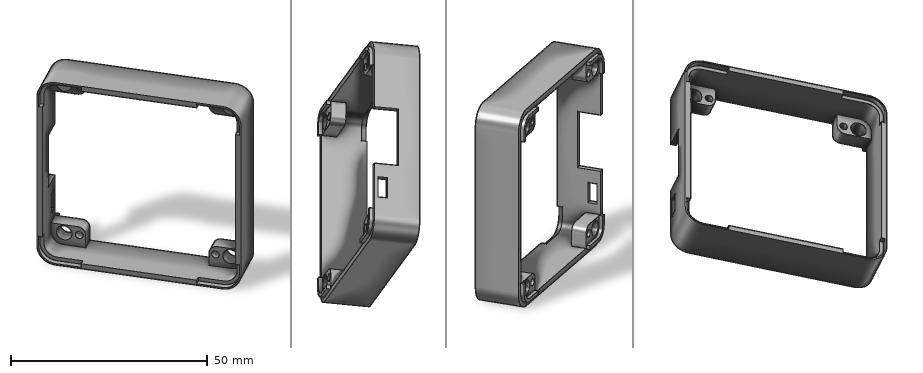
import cadquery as cq

side = 54.0
frame_depth = 12.0
wall = 1.5
outer_radius = 5.0
half = side / 2

boss_x = 10.7
boss_z = 7.4
boss_depth = 4.0
boss_radius = 2.2
large_hole_diameter = 4.1
small_hole_diameter = 2.0
large_hole_inset = 5.0
small_hole_inset = 9.0
hole_inset_z = 5.0

tongue_height = 1.0
tongue_inset = 1.3
tongue_x = 10.4
tongue_z = 7.5
tongue_thickness = 1.0

groove_inset = 0.45
groove_x = 11.7
groove_z = 7.8
groove_depth = 1.5

window_height = 15.4
window_depth = 6.4
slot_height = 5.5
slot_width = 2.5
slot_edge = 1.0
slot_z = -14.1


def box(x0, x1, y0, y1, z0, z1):
    """Block between opposite corners."""
    return cq.Workplane("XY").box(x1 - x0, y1 - y0, z1 - z0, centered=False).translate((x0, y0, z0))


def rounded_square(inset, y0, y1):
    """Rounded square prism, inset evenly from the outer face of the frame."""
    size = side - 2 * inset
    prism = box(-size / 2, size / 2, y0, y1, -size / 2, size / 2)
    return prism.edges("|Y").fillet(outer_radius - inset)


def at_four_corners(shape):
    """Copies of a feature made at the (-X, -Z) corner, mirrored to all four corners."""
    pair = shape.union(shape.mirror("YZ"))
    return pair.union(pair.mirror("XY"))


def corner_block(length_x, length_z, y0, y1):
    """Block filling the (-X, -Z) corner, measured from the outer faces."""
    return box(-half, -half + length_x, y0, y1, -half, -half + length_z)


def corner_ledge(outer_inset, inner_inset, length_x, length_z, y0, y1):
    """L-shaped strip that follows the rounded (-X, -Z) corner."""
    ring = rounded_square(outer_inset, y0, y1).cut(rounded_square(inner_inset, y0, y1))
    return ring.intersect(corner_block(length_x, length_z, y0, y1))


def corner_hole(diameter, inset_x):
    """Cylinder along Y through the (-X, -Z) boss."""
    length = frame_depth + tongue_height
    cylinder = cq.Workplane("XZ").circle(diameter / 2).extrude(-length)
    return cylinder.translate((-half + inset_x, 0, -half + hole_inset_z))


def boss():
    """Corner boss, flush with the back of the frame and rounded at its free corner."""
    front = frame_depth - boss_depth
    block = corner_block(boss_x, boss_z, front, frame_depth)
    free_corner = (-half + boss_x, front, -half + boss_z)
    block = block.edges("|Y").edges(cq.NearestToPointSelector(free_corner)).fillet(boss_radius)
    return block.intersect(rounded_square(0, front, frame_depth))


def side_openings():
    """Open window and small slot through the -X wall."""
    inside = -half + wall
    window_bottom = -window_height / 2
    window_front = frame_depth - window_depth
    window = box(-half, inside, window_front, frame_depth, window_bottom, window_bottom + window_height)
    slot_bottom = slot_z - slot_height / 2
    slot_back = frame_depth - slot_edge
    slot = box(-half, inside, slot_back - slot_width, slot_back, slot_bottom, slot_bottom + slot_height)
    return window.union(slot)


frame = rounded_square(0, 0, frame_depth).cut(rounded_square(wall, 0, frame_depth))
groove = corner_ledge(groove_inset, wall, groove_x, groove_z, 0, groove_depth)
tongue = corner_ledge(
    tongue_inset, tongue_inset + tongue_thickness, tongue_x, tongue_z, frame_depth, frame_depth + tongue_height
)

result = frame.union(at_four_corners(boss())).union(at_four_corners(tongue))
result = result.cut(at_four_corners(groove))
result = result.cut(at_four_corners(corner_hole(large_hole_diameter, large_hole_inset)))
result = result.cut(at_four_corners(corner_hole(small_hole_diameter, small_hole_inset)))
result = result.cut(side_openings())